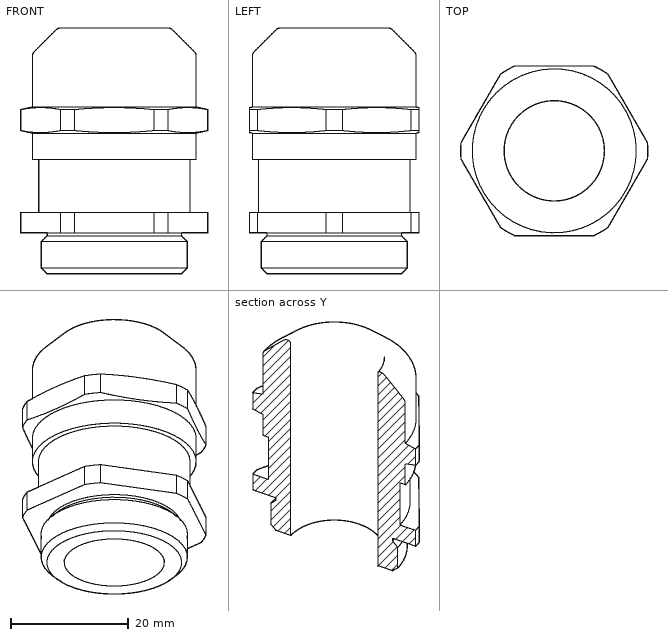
import cadquery as cq
import math

undercut_bottom = 6.5
lower_hex_bottom = 7.0
lower_hex_top = 10.5
nut_bottom = 19.5
nut_hex_bottom = 24.0
nut_hex_top = 28.5
total_height = 42.0

bore_radius = 8.55
thread_radius = 12.5
body_radius = 12.95
nut_radius = 14.0

across_flats = 29.0
corner_radius = 16.0
hex_bevel_depth = 0.45

thread_chamfer = 1.0
nut_fillet = 1.0
mouth_fillet = 0.45
rim_outer_radius = 9.2
cone_angle = 45.0


def revolve_profile(profile):
    """Turn a closed radius-height outline about the Z axis."""
    return profile.close().revolve(360, (0, 0, 0), (0, 1, 0))


def arc_point(center, radius, angle):
    """Point on a circle in the radius-height plane, angle in degrees from outward."""
    turn = math.radians(angle)
    return (center[0] + radius * math.cos(turn), center[1] + radius * math.sin(turn))


def turned_body():
    """All round surfaces of the gland, still without the bore."""
    undercut_radius = thread_radius - thread_chamfer

    rim_center = (rim_outer_radius, total_height - nut_fillet)
    shoulder_radius = nut_radius - nut_fillet
    cone_drop = (shoulder_radius - rim_outer_radius) * math.tan(math.radians(cone_angle))
    shoulder_center = (shoulder_radius, rim_center[1] - cone_drop)
    cone_normal = 90 - cone_angle

    profile = (
        cq.Workplane("XZ")
        .lineTo(undercut_radius, 0)
        .lineTo(thread_radius, thread_chamfer)
        .lineTo(thread_radius, undercut_bottom - thread_chamfer)
        .lineTo(undercut_radius, undercut_bottom)
        .lineTo(undercut_radius, lower_hex_bottom)
        .lineTo(body_radius, lower_hex_bottom)
        .lineTo(body_radius, nut_bottom)
        .lineTo(nut_radius, nut_bottom)
        .lineTo(nut_radius, shoulder_center[1])
        .threePointArc(
            arc_point(shoulder_center, nut_fillet, cone_normal / 2),
            arc_point(shoulder_center, nut_fillet, cone_normal),
        )
        .lineTo(*arc_point(rim_center, nut_fillet, cone_normal))
        .threePointArc(
            arc_point(rim_center, nut_fillet, (cone_normal + 90) / 2),
            (rim_outer_radius, total_height),
        )
        .lineTo(0, total_height)
    )
    return revolve_profile(profile)


def rounded_hexagon(bottom, top):
    """Hexagon with two flats facing +Y and -Y and its corners turned round."""
    across_corners = across_flats / math.cos(math.radians(30))
    base = cq.Workplane("XY").workplane(offset=bottom)
    hexagon = base.polygon(6, across_corners).extrude(top - bottom)
    return hexagon.intersect(base.circle(corner_radius).extrude(top - bottom))


def nut_hexagon():
    """Hexagon of the cap nut, bevelled on both faces from the nut wall out to the corners."""
    envelope = revolve_profile(
        cq.Workplane("XZ")
        .moveTo(0, nut_hex_bottom)
        .lineTo(nut_radius, nut_hex_bottom)
        .lineTo(corner_radius, nut_hex_bottom + hex_bevel_depth)
        .lineTo(corner_radius, nut_hex_top - hex_bevel_depth)
        .lineTo(nut_radius, nut_hex_top)
        .lineTo(0, nut_hex_top)
    )
    return rounded_hexagon(nut_hex_bottom, nut_hex_top).intersect(envelope)


def bore():
    """Through bore that flares out at the top to leave a rounded mouth."""
    mouth_center = (bore_radius + mouth_fillet, total_height - mouth_fillet)
    profile = (
        cq.Workplane("XZ")
        .lineTo(bore_radius, 0)
        .lineTo(bore_radius, mouth_center[1])
        .threePointArc(
            arc_point(mouth_center, mouth_fillet, 135),
            (mouth_center[0], total_height),
        )
        .lineTo(0, total_height)
    )
    return revolve_profile(profile)


lower_hexagon = rounded_hexagon(lower_hex_bottom, lower_hex_top)
result = turned_body().union(lower_hexagon).union(nut_hexagon()).cut(bore())